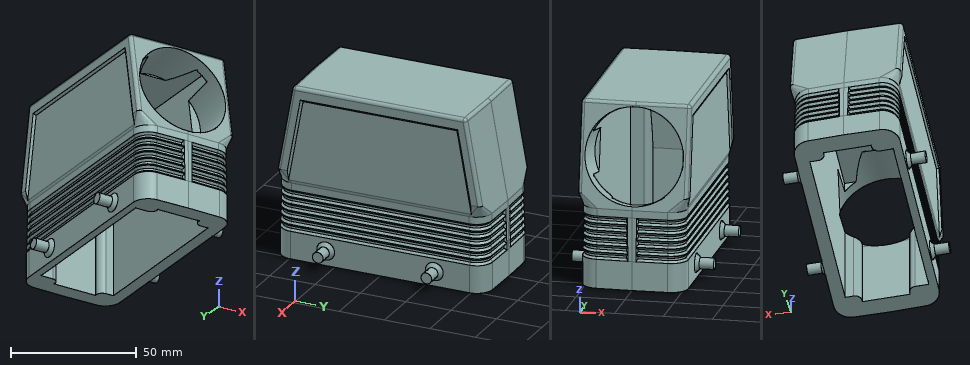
import cadquery as cq
import math

HEIGHT = 76.0
HALF_LENGTH = 46.75
PIN_TIP_X = 29.0

BASE_HALF_WIDTH = 21.5
BASE_CORNER_RADIUS = 7.0
BASE_TOP_Z = 12.1
GROOVE_COUNT = 6
GROOVE_DEPTH = 0.9
GROOVE_LAND = 0.2
WEB_HALF_WIDTH = 1.6
WEB_ROOT_HALF_WIDTH = WEB_HALF_WIDTH + GROOVE_DEPTH

NECK_HALF_WIDTH = 21.2
NECK_HALF_LENGTH = 46.4
NECK_BOTTOM_Z = 30.1
NECK_TOP_Z = 33.2

HOOD_HALF_WIDTH = 22.4
HOOD_BOTTOM_Z = 38.8
HOOD_RADIUS = 1.5
END_SLOPE = math.radians(10.2)
CREASE_ANGLE = math.radians(1.0)

PANEL_DEPTH = 0.9
PANEL_TOP_Z = 70.8
PANEL_TOP_HALF_LENGTH = 34.7

ENTRY_RADIUS = 20.1
ENTRY_Z = 54.5
ENTRY_DEPTH = 19.6

CAVITY_MIN_X = -18.0
CAVITY_MAX_X = 16.0
CAVITY_TOP_Z = 69.9
CAVITY_HALF_LENGTH = 39.3
CAVITY_END_SLOPE = math.radians(8.0)
POST_FACE_Y = 35.7
POST_TOP_Z = 59.8
POST_HALF_GAP = 9.7
POST_RADIUS = 2.8

PIN_RADIUS = 2.3
PIN_Y = 23.9
PIN_Z = 6.45
COLLAR_RADIUS = 3.9
COLLAR_HEIGHT = COLLAR_RADIUS - PIN_RADIUS

OVERCUT = 1.9


def hood_end_y(z):
    """Y of the middle of the sloped hood end at height z."""
    return NECK_HALF_LENGTH - (z - NECK_TOP_Z) * math.tan(END_SLOPE)


def plan_wire(z, half_width, half_length, radius):
    """Rounded rectangle at height z whose two ends are folded at their middle."""
    center_x = half_width - radius
    center_y = half_length - center_x * math.tan(CREASE_ANGLE) - radius / math.cos(CREASE_ANGLE)
    end_x = center_x + radius * math.sin(CREASE_ANGLE)
    end_y = center_y + radius * math.cos(CREASE_ANGLE)
    middle_angle = (math.pi / 2 - CREASE_ANGLE) / 2
    middle_x = center_x + radius * math.cos(middle_angle)
    middle_y = center_y + radius * math.sin(middle_angle)
    outline = (
        cq.Workplane("XY", origin=(0, 0, z))
        .moveTo(0, half_length)
        .lineTo(end_x, end_y)
        .threePointArc((middle_x, middle_y), (half_width, center_y))
        .lineTo(half_width, -center_y)
        .threePointArc((middle_x, -middle_y), (end_x, -end_y))
        .lineTo(0, -half_length)
        .lineTo(-end_x, -end_y)
        .threePointArc((-middle_x, -middle_y), (-half_width, -center_y))
        .lineTo(-half_width, center_y)
        .threePointArc((-middle_x, middle_y), (-end_x, end_y))
        .close()
    )
    return outline.val()


def ruled_solid(wires):
    return cq.Workplane(cq.Solid.makeLoft(wires, True))


def grip_wire(z, inset=0.0):
    """Outline of the slightly drafted grip at height z, moved inwards by inset."""
    share = (z - BASE_TOP_Z) / (NECK_BOTTOM_Z - BASE_TOP_Z)
    half_width = BASE_HALF_WIDTH + share * (NECK_HALF_WIDTH - BASE_HALF_WIDTH)
    half_length = HALF_LENGTH + share * (NECK_HALF_LENGTH - HALF_LENGTH)
    return plan_wire(z, half_width - inset, half_length - inset, BASE_CORNER_RADIUS - inset)


def make_grip():
    pitch = (NECK_BOTTOM_Z - BASE_TOP_Z) / GROOVE_COUNT
    wires = [grip_wire(BASE_TOP_Z)]
    for index in range(GROOVE_COUNT):
        bottom = BASE_TOP_Z + index * pitch
        top = bottom + pitch
        wires.append(grip_wire(bottom + GROOVE_LAND / 2))
        wires.append(grip_wire(bottom + GROOVE_LAND / 2 + GROOVE_DEPTH, GROOVE_DEPTH))
        wires.append(grip_wire(top - GROOVE_LAND / 2 - GROOVE_DEPTH, GROOVE_DEPTH))
        wires.append(grip_wire(top - GROOVE_LAND / 2))
    wires.append(grip_wire(NECK_BOTTOM_Z))
    ribbed = ruled_solid(wires)

    plain = ruled_solid([grip_wire(BASE_TOP_Z), grip_wire(NECK_BOTTOM_Z)])
    root_y = NECK_HALF_LENGTH - GROOVE_DEPTH
    web = (
        cq.Workplane("XY", origin=(0, 0, BASE_TOP_Z))
        .polyline([
            (-WEB_HALF_WIDTH, HALF_LENGTH),
            (WEB_HALF_WIDTH, HALF_LENGTH),
            (WEB_ROOT_HALF_WIDTH, root_y),
            (WEB_ROOT_HALF_WIDTH, -root_y),
            (WEB_HALF_WIDTH, -HALF_LENGTH),
            (-WEB_HALF_WIDTH, -HALF_LENGTH),
            (-WEB_ROOT_HALF_WIDTH, -root_y),
            (-WEB_ROOT_HALF_WIDTH, root_y),
        ])
        .close()
        .extrude(NECK_BOTTOM_Z - BASE_TOP_Z)
    )
    return ribbed.union(plain.intersect(web))


def folded_rectangle(z):
    """Sharp-cornered hood section at height z."""
    middle_y = hood_end_y(z)
    corner_y = middle_y - HOOD_HALF_WIDTH * math.tan(CREASE_ANGLE)
    corners = [
        (0, middle_y),
        (HOOD_HALF_WIDTH, corner_y),
        (HOOD_HALF_WIDTH, -corner_y),
        (0, -middle_y),
        (-HOOD_HALF_WIDTH, -corner_y),
        (-HOOD_HALF_WIDTH, corner_y),
    ]
    return cq.Workplane("XY", origin=(0, 0, z)).polyline(corners).close().val()


def make_hood():
    block = ruled_solid([folded_rectangle(HOOD_BOTTOM_Z), folded_rectangle(HEIGHT)])
    rounded = block.faces(">Z or <X or >X").edges("not <Z")
    return rounded.fillet(HOOD_RADIUS)


def make_shell_outside():
    base_wires = [
        plan_wire(z, BASE_HALF_WIDTH, HALF_LENGTH, BASE_CORNER_RADIUS)
        for z in (0, BASE_TOP_Z)
    ]
    neck_wires = [
        plan_wire(z, NECK_HALF_WIDTH, NECK_HALF_LENGTH, BASE_CORNER_RADIUS)
        for z in (NECK_BOTTOM_Z, NECK_TOP_Z)
    ]
    hood_bottom = plan_wire(HOOD_BOTTOM_Z, HOOD_HALF_WIDTH, hood_end_y(HOOD_BOTTOM_Z), HOOD_RADIUS)
    transition = ruled_solid([neck_wires[1], hood_bottom])
    return (
        ruled_solid(base_wires)
        .union(make_grip())
        .union(ruled_solid(neck_wires))
        .union(transition)
        .union(make_hood())
    )


def panel_wire(depth):
    """Trapezoid of the side panel at a depth below the hood side, with 45 degree walls."""
    top_z = PANEL_TOP_Z - depth
    slope = math.tan(END_SLOPE)
    rim_half_length = PANEL_TOP_HALF_LENGTH - depth / math.cos(END_SLOPE)
    top_half_length = rim_half_length + depth * slope
    bottom_half_length = rim_half_length + (PANEL_TOP_Z - NECK_TOP_Z) * slope
    return (
        cq.Workplane("YZ", origin=(HOOD_HALF_WIDTH - depth, 0, 0))
        .polyline([
            (-top_half_length, top_z),
            (top_half_length, top_z),
            (bottom_half_length, NECK_TOP_Z),
            (-bottom_half_length, NECK_TOP_Z),
        ])
        .close()
        .val()
    )


def make_panels():
    panel = ruled_solid([panel_wire(0), panel_wire(PANEL_DEPTH)])
    return panel.union(panel.mirror("YZ"))


def make_cavity():
    """Room open at the bottom, with a rounded post left standing in each corner."""
    slope = math.tan(CAVITY_END_SLOPE)
    top_y = POST_FACE_Y - (CAVITY_TOP_Z - POST_TOP_Z) * slope
    knee_z = POST_TOP_Z - (CAVITY_HALF_LENGTH - POST_FACE_Y) / slope
    room = (
        cq.Workplane("YZ", origin=(CAVITY_MIN_X, 0, 0))
        .polyline([
            (-CAVITY_HALF_LENGTH, -OVERCUT),
            (CAVITY_HALF_LENGTH, -OVERCUT),
            (CAVITY_HALF_LENGTH, knee_z),
            (top_y, CAVITY_TOP_Z),
            (-top_y, CAVITY_TOP_Z),
            (-CAVITY_HALF_LENGTH, knee_z),
        ])
        .close()
        .extrude(CAVITY_MAX_X - CAVITY_MIN_X)
    )
    post_reach = HALF_LENGTH - POST_FACE_Y
    post_width = HOOD_HALF_WIDTH - POST_RADIUS
    for side in (-1, 1):
        for end in (-1, 1):
            post = (
                cq.Workplane("XY")
                .center(side * (POST_HALF_GAP + post_width / 2),
                        end * (POST_FACE_Y + post_reach / 2))
                .rect(post_width, post_reach)
                .extrude(HEIGHT)
                .edges("|Z")
                .fillet(POST_RADIUS)
            )
            room = room.cut(post)
    return room


def make_entry():
    """Blind bore square to the sloped front end."""
    inward = cq.Vector(0, math.cos(END_SLOPE), -math.sin(END_SLOPE))
    face_center = cq.Vector(0, -hood_end_y(ENTRY_Z), ENTRY_Z)
    start = face_center - inward * OVERCUT
    return cq.Workplane(
        cq.Solid.makeCylinder(ENTRY_RADIUS, ENTRY_DEPTH + OVERCUT, start, inward)
    )


def make_pin(side, y):
    """Locking pin with a conical collar, standing on the base side."""
    root_x = BASE_HALF_WIDTH - OVERCUT
    collar_x = BASE_HALF_WIDTH + COLLAR_HEIGHT
    pin = (
        cq.Workplane("XY")
        .polyline([
            (root_x, 0),
            (root_x, COLLAR_RADIUS),
            (BASE_HALF_WIDTH, COLLAR_RADIUS),
            (collar_x, PIN_RADIUS),
            (PIN_TIP_X, PIN_RADIUS),
            (PIN_TIP_X, 0),
        ])
        .close()
        .revolve(360, (0, 0, 0), (1, 0, 0))
    )
    if side < 0:
        pin = pin.mirror("YZ")
    return pin.translate((0, y, PIN_Z))


result = make_shell_outside().cut(make_panels())
for pin_side in (-1, 1):
    for pin_y in (-PIN_Y, PIN_Y):
        result = result.union(make_pin(pin_side, pin_y))
result = result.cut(make_cavity()).cut(make_entry())